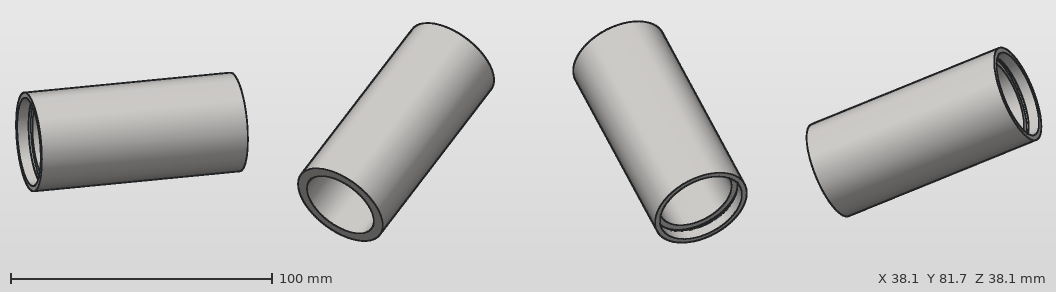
import cadquery as cq

length = 81.7
outer_diameter = 38.1
seat_diameter = 34.0
bore_diameter = 30.0
seat_depth = 5.5
groove_width = 1.0
groove_depth = 0.5
groove_diameter = seat_diameter + 2 * groove_depth


def cylinder_along_y(diameter, start, end):
    """Cylinder on the Y axis between two Y positions; the front face is Y = 0."""
    return cq.Workplane("XZ", origin=(0, start, 0)).circle(diameter / 2).extrude(start - end)


sleeve = cylinder_along_y(outer_diameter, 0, length)
bore = cylinder_along_y(bore_diameter, 0, length)
seat = cylinder_along_y(seat_diameter, 0, seat_depth)
groove = cylinder_along_y(groove_diameter, seat_depth - groove_width, seat_depth)

result = sleeve.cut(bore).cut(seat).cut(groove)